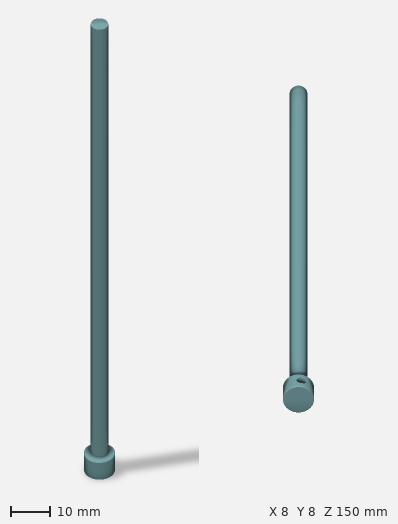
import cadquery as cq

total_length = 150.0
head_diameter = 8.0
head_height = 6.0
shank_diameter = 4.5

side_hole_diameter = 2.5

rim_chamfer = 0.2
root_fillet_radius = 0.3

head_radius = head_diameter / 2
shank_radius = shank_diameter / 2

half_section = (
    cq.Workplane("XZ")
    .lineTo(head_radius - rim_chamfer, 0)
    .lineTo(head_radius, rim_chamfer)
    .lineTo(head_radius, head_height - rim_chamfer)
    .lineTo(head_radius - rim_chamfer, head_height)
    .lineTo(shank_radius + root_fillet_radius, head_height)
    .radiusArc((shank_radius, head_height + root_fillet_radius), root_fillet_radius)
    .lineTo(shank_radius, total_length)
    .lineTo(0, total_length)
    .close()
)

pin = half_section.revolve(360, (0, 0, 0), (0, 1, 0))

side_hole = (
    cq.Workplane("XZ", origin=(0, head_radius, head_height / 2))
    .circle(side_hole_diameter / 2)
    .extrude(head_radius - shank_radius)
)

result = pin.cut(side_hole)